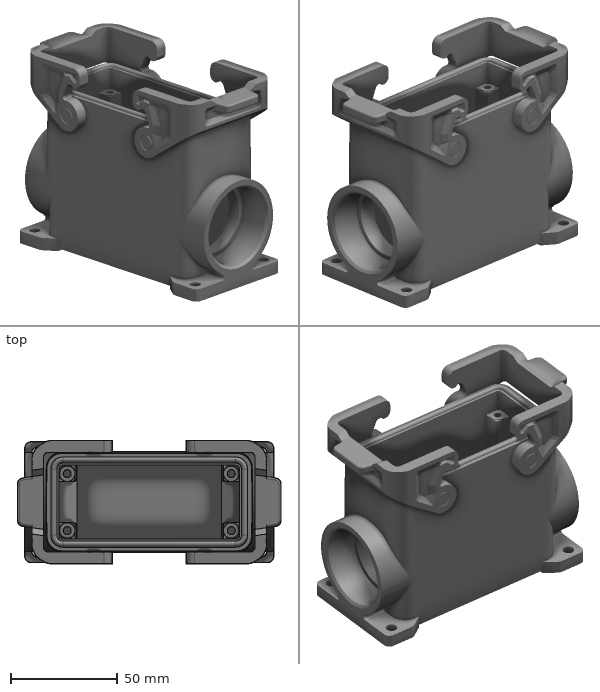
import cadquery as cq
import math

TOTAL_LENGTH = 124.0
TOTAL_HEIGHT = 96.8
OVERLAP = 1.2

SHELL_HALF_X = 48.7
SHELL_HALF_Y = 23.7
SHELL_CORNER_R = 7.6
SHELL_DRAFT = 0.6
END_CREASE = 0.43
LOWER_HALF_X = 46.6
SHELL_BOTTOM = 1.5
RIM_Z = 79.7

CAVITY_HALF_X = 42.4
CAVITY_HALF_Y = 17.4
CAVITY_CORNER_R = 1.9
WELL_HALF_X = 34.0
FLOOR_Z = 5.0
RAMP_TOP_Z = 52.7
RAMP_ANGLE = 30.0

BEAD_INNER_GAP = 1.0
BEAD_WIDTH = 2.9

POST_X = 38.6
POST_Y = 13.4
POST_TOP = 69.2
POST_R = 3.7
POST_EDGE_R = 1.5
POST_HOLE_R = 1.9
POST_HOLE_DEPTH = 9.9
POST_CORNER_STEP = 0.4

COLLAR_FACE_X = 58.5
COLLAR_Z = 30.1
COLLAR_R = 23.3
COLLAR_ROOT_X = 39.2
BORE_MOUTH_R = 20.3
BORE_R = 19.2
BORE_CHAMFER = 1.1
BORE_STEP_X = CAVITY_HALF_X
OPENING_R = 17.0
CLOSING_WALL = 1.9

FOOT_HALF_Y = 28.4
FOOT_HEIGHT = 6.2
FOOT_INNER_X = 36.6
FOOT_SHOULDER_X = 43.4
FOOT_CORNER_R = 3.0
FOOT_HOLE_X = 52.5
FOOT_HOLE_Y = 23.1
FOOT_HOLE_R = 2.7
WEB_HALF_Y = 10.9
WEB_TOP = 9.7
WEB_NOTCH_R = 1.4

LEVER_END_X = 55.0
LEVER_HALF_Y = 29.0
LEVER_INNER_X = 49.7
LEVER_INNER_Y = 23.4
LEVER_INNER_R = 2.5
LEVER_END_ARC_R = 7.9
LEVER_SIDE_ARC_R = 6.2
LEVER_SIDE_ARC_X = 45.9
LEVER_END_ARC_ANGLE = 60.0
PIVOT_X = 26.0
PIVOT_Z = 71.9
PIVOT_R = 7.6
PIN_R = 3.8
PIN_GROOVE = 0.4
PIN_EMBED = 3.7
LEVER_SLOPE = 35.0
HOOK_TIP_X = 17.4
HOOK_TOP_R = 3.8

SIDE_POCKET_DEPTH = 1.9
HOOK_POCKET_DEPTH = 1.1
END_POCKET_DEPTH = 1.9
END_POCKET_HALF_Y = 19.1
END_POCKET_BOTTOM = 84.5
END_POCKET_TOP = 93.5
END_POCKET_INSET = 2.4
END_POCKET_CORNER = 1.1

TAB_TOP = 94.7
TAB_THICKNESS = 4.3
TAB_TIP_X = TOTAL_LENGTH / 2
TAB_TIP_HALF_Y = 11.0
TAB_ROOT_HALF_Y = 12.8
TAB_CORNER_R = 3.1
TAB_EDGE_R = 1.0
TAB_FLARE_HALF_Y = 13.1
TAB_FLARE_BOTTOM = 89.7
TAB_FLARE_LENGTH = 1.2
TAB_FLARE_ANGLE = 40.0
NOTCH_FLARE = 3.0


def block(x0, x1, half_y, z0, z1):
    """Box between two X and two Z positions, centred on Y = 0."""
    return cq.Workplane("XY").box(x1 - x0, 2 * half_y, z1 - z0, centered=(False, True, False)).translate(
        (x0, 0, z0)
    )


def x_cylinder(radius, x0, x1):
    """Cylinder on the collar axis between two X positions."""
    return cq.Workplane("YZ", origin=(x0, 0, COLLAR_Z)).circle(radius).extrude(x1 - x0)


def both_ends(shape):
    return shape.union(shape.mirror("YZ"))


def both_sides(shape):
    return shape.union(shape.mirror("XZ"))


def shell_prism(half_x):
    """Drafted, rounded block up to the rim, with end faces creased slightly outward."""
    height = RIM_Z - SHELL_BOTTOM
    crease_x = half_x + END_CREASE
    outline = [
        (crease_x, 0),
        (half_x, SHELL_HALF_Y),
        (-half_x, SHELL_HALF_Y),
        (-crease_x, 0),
        (-half_x, -SHELL_HALF_Y),
        (half_x, -SHELL_HALF_Y),
    ]
    blank = cq.Workplane("XY").polyline(outline).close().extrude(height)
    corners = [edge for edge in blank.edges("|Z").vals() if abs(edge.Center().y) > 1.2]
    rounded = blank.newObject(corners).fillet(SHELL_CORNER_R)
    wire = rounded.faces("<Z").wires().toPending()
    return wire.extrude(height, taper=SHELL_DRAFT, combine=False).translate((0, 0, SHELL_BOTTOM))


def rim_bead():
    """Half-round bead running around the rim, just outside the cavity."""
    radius = BEAD_WIDTH / 2
    offset = BEAD_INNER_GAP + radius
    half_x = CAVITY_HALF_X + offset
    half_y = CAVITY_HALF_Y + offset
    loop = cq.Workplane("XY", origin=(0, 0, RIM_Z)).rect(2 * half_x, 2 * half_y).extrude(-1.2)
    loop = loop.edges("|Z").fillet(CAVITY_CORNER_R + offset).faces(">Z").wires()
    start = cq.Workplane("YZ", origin=(0, half_y, RIM_Z))
    return start.circle(radius).sweep(loop)


def cavity():
    """Open-topped interior with a sloping ledge at each end above the well."""
    well = block(-WELL_HALF_X, WELL_HALF_X, CAVITY_HALF_Y, FLOOR_Z, RIM_Z)
    ramp_edge_z = RAMP_TOP_Z - (CAVITY_HALF_X - WELL_HALF_X) * math.tan(math.radians(RAMP_ANGLE))
    section = [
        (-CAVITY_HALF_X, RIM_Z),
        (-CAVITY_HALF_X, RAMP_TOP_Z),
        (-WELL_HALF_X, ramp_edge_z),
        (WELL_HALF_X, ramp_edge_z),
        (CAVITY_HALF_X, RAMP_TOP_Z),
        (CAVITY_HALF_X, RIM_Z),
    ]
    upper = cq.Workplane("XZ").polyline(section).close().extrude(CAVITY_HALF_Y, both=True)
    corners = [edge for edge in upper.edges("|Z").vals() if abs(edge.Center().x) > WELL_HALF_X + 1.2]
    return well.union(upper.newObject(corners).fillet(CAVITY_CORNER_R))


def screw_post():
    """Corner post, widening downward to the well wall, with a slightly raised ring around its hole."""
    foot_z = RAMP_TOP_Z - (CAVITY_HALF_X - WELL_HALF_X)
    inner_y = POST_Y - POST_R
    section = [
        (WELL_HALF_X, foot_z),
        (POST_X - POST_R, POST_TOP - POST_CORNER_STEP),
        (CAVITY_HALF_X + OVERLAP, POST_TOP - POST_CORNER_STEP),
        (CAVITY_HALF_X + OVERLAP, foot_z),
    ]
    post = (
        cq.Workplane("XZ", origin=(0, inner_y, 0))
        .polyline(section)
        .close()
        .extrude(inner_y - CAVITY_HALF_Y - OVERLAP)
        .edges(cq.NearestToPointSelector((POST_X - POST_R, inner_y, (foot_z + POST_TOP) / 2)))
        .fillet(POST_EDGE_R)
    )
    at_axis = cq.Workplane("XY", origin=(POST_X, POST_Y, POST_TOP))
    return post.union(at_axis.circle(POST_R).extrude(-POST_CORNER_STEP - OVERLAP)).cut(
        at_axis.circle(POST_HOLE_R).extrude(-POST_HOLE_DEPTH)
    )


def screw_posts():
    return both_ends(both_sides(screw_post()))


def collar_bore(inner_x):
    """Stepped bore of the +X collar, ending at inner_x."""
    bore = x_cylinder(BORE_R, BORE_STEP_X, COLLAR_FACE_X)
    mouth = cq.Workplane("XY").add(
        cq.Solid.makeCone(
            BORE_R,
            BORE_MOUTH_R,
            BORE_CHAMFER,
            cq.Vector(COLLAR_FACE_X - BORE_CHAMFER, 0, COLLAR_Z),
            cq.Vector(1, 0, 0),
        )
    )
    return bore.union(mouth).union(x_cylinder(OPENING_R, inner_x, BORE_STEP_X))


def foot():
    """Mounting plate under the +X end, with two holes and a web up to the collar."""
    outline = [
        (COLLAR_FACE_X, FOOT_HALF_Y),
        (FOOT_SHOULDER_X, FOOT_HALF_Y),
        (FOOT_INNER_X, SHELL_HALF_Y),
        (FOOT_INNER_X, -SHELL_HALF_Y),
        (FOOT_SHOULDER_X, -FOOT_HALF_Y),
        (COLLAR_FACE_X, -FOOT_HALF_Y),
    ]
    plate = cq.Workplane("XY").polyline(outline).close().extrude(FOOT_HEIGHT)
    plate = plate.edges("|Z and >X").fillet(FOOT_CORNER_R)
    shoulders = [e for e in plate.edges("|Z").vals() if abs(e.Center().x - FOOT_SHOULDER_X) < 0.1]
    plate = plate.newObject(shoulders).fillet(FOOT_CORNER_R)
    holes = cq.Workplane("XY").pushPoints([(FOOT_HOLE_X, FOOT_HOLE_Y), (FOOT_HOLE_X, -FOOT_HOLE_Y)])
    plate = plate.cut(holes.circle(FOOT_HOLE_R).extrude(FOOT_HEIGHT))
    web = block(LOWER_HALF_X - OVERLAP, COLLAR_FACE_X, WEB_HALF_Y, FOOT_HEIGHT - OVERLAP, WEB_TOP)
    notches = (
        cq.Workplane("YZ")
        .pushPoints([(y, FOOT_HEIGHT + WEB_NOTCH_R) for y in (-WEB_HALF_Y, WEB_HALF_Y)])
        .circle(WEB_NOTCH_R)
        .extrude(COLLAR_FACE_X)
    )
    return plate.union(web.cut(notches))


def lever_profile():
    """Side shape of the +X lever: hooked arm above, round pivot eye below."""
    slope = math.radians(LEVER_SLOPE)
    tangent_x = PIVOT_X + PIVOT_R * math.sin(slope)
    tangent_z = PIVOT_Z - PIVOT_R * math.cos(slope)
    end_bottom_z = tangent_z + (LEVER_END_X - tangent_x) * math.tan(slope)
    diagonal = HOOK_TOP_R * (1 - math.sqrt(0.5))
    arm = (
        cq.Workplane("XZ")
        .moveTo(LEVER_END_X, TOTAL_HEIGHT)
        .lineTo(HOOK_TIP_X + HOOK_TOP_R, TOTAL_HEIGHT)
        .threePointArc(
            (HOOK_TIP_X + diagonal, TOTAL_HEIGHT - diagonal), (HOOK_TIP_X, TOTAL_HEIGHT - HOOK_TOP_R)
        )
        .lineTo(HOOK_TIP_X, 90.5)
        .threePointArc((18.4, 87.7), (21.7, 87.0))
        .threePointArc((24.0, 88.2), (25.9, 86.7))
        .lineTo(28.1, 81.5)
        .threePointArc((28.1, 80.2), (27.0, 79.4))
        .lineTo(PIVOT_X, PIVOT_Z)
        .lineTo(tangent_x, tangent_z)
        .lineTo(LEVER_END_X, end_bottom_z)
        .close()
        .extrude(LEVER_HALF_Y, both=True)
    )
    eye = cq.Workplane("XZ").center(PIVOT_X, PIVOT_Z).circle(PIVOT_R).extrude(LEVER_HALF_Y, both=True)
    return arm.union(eye)


def lever_plan():
    """U-shaped plan of the +X lever; each outer corner is an arc, a short flat and an arc."""
    turn = math.radians(LEVER_END_ARC_ANGLE)
    rest = math.pi / 2 - turn
    flat_end = (LEVER_SIDE_ARC_X + LEVER_SIDE_ARC_R * math.sin(rest),
                LEVER_HALF_Y - LEVER_SIDE_ARC_R * (1 - math.cos(rest)))
    side_mid = (LEVER_SIDE_ARC_X + LEVER_SIDE_ARC_R * math.sin(rest / 2),
                LEVER_HALF_Y - LEVER_SIDE_ARC_R * (1 - math.cos(rest / 2)))
    centre_x = LEVER_END_X - LEVER_END_ARC_R
    flat_start_x = centre_x + LEVER_END_ARC_R * math.cos(turn)
    flat_start_y = flat_end[1] - (flat_start_x - flat_end[0]) / math.tan(turn)
    centre_y = flat_start_y - LEVER_END_ARC_R * math.sin(turn)
    end_mid = (centre_x + LEVER_END_ARC_R * math.cos(turn / 2),
               centre_y + LEVER_END_ARC_R * math.sin(turn / 2))
    half = (
        cq.Workplane("XY")
        .lineTo(LEVER_END_X, 0)
        .lineTo(LEVER_END_X, centre_y)
        .threePointArc(end_mid, (flat_start_x, flat_start_y))
        .lineTo(*flat_end)
        .threePointArc(side_mid, (LEVER_SIDE_ARC_X, LEVER_HALF_Y))
        .lineTo(0, LEVER_HALF_Y)
        .close()
        .extrude(TOTAL_HEIGHT)
    )
    inside = block(-LEVER_INNER_X, LEVER_INNER_X, LEVER_INNER_Y, 0, TOTAL_HEIGHT)
    return both_sides(half).cut(inside.edges("|Z").fillet(LEVER_INNER_R))


def tapered_pocket(plane, opening, bottom, depth):
    """Pocket with sloping walls, from an opening outline to a matching bottom outline."""
    return (
        plane.polyline(opening)
        .close()
        .workplane(offset=-depth)
        .polyline(bottom)
        .close()
        .loft(ruled=True)
    )


def side_pockets():
    """Recesses in the -Y cheek of the +X lever."""
    def cheek():
        return cq.Workplane("XZ", origin=(0, -LEVER_HALF_Y, 0))

    main = tapered_pocket(
        cheek(),
        [(41.2, 94.4), (27.7, 94.4), (27.3, 91.0), (30.6, 81.8), (30.6, 78.1), (29.9, 77.4), (32.4, 71.3),
         (33.2, 71.0), (41.2, 76.8), (42.3, 78.1), (42.3, 93.2)],
        [(37.6, 91.0), (30.5, 91.0), (30.4, 90.8), (33.9, 81.8), (33.9, 77.4), (34.0, 76.4), (35.0, 76.0),
         (35.5, 76.0), (38.5, 78.2), (39.2, 79.9), (39.2, 89.5)],
        SIDE_POCKET_DEPTH,
    )
    hook = tapered_pocket(
        cheek(),
        [(27.9, 94.4), (19.3, 94.4), (19.3, 89.7), (21.3, 89.5), (24.2, 92.0), (26.8, 92.0), (27.9, 91.3)],
        [(27.9, 93.2), (20.6, 93.2), (20.3, 91.0), (20.8, 91.0), (23.9, 93.0), (26.7, 93.0), (27.9, 92.8)],
        HOOK_POCKET_DEPTH,
    )
    return main.union(hook)


def end_pocket():
    """Shallow recess across the end face of the +X lever, below the tab."""
    def outline(inset):
        corner = END_POCKET_CORNER
        y = END_POCKET_HALF_Y - inset
        low = END_POCKET_BOTTOM + inset
        high = END_POCKET_TOP - inset
        return [(y, low + corner), (y, high - corner), (y - corner, high), (corner - y, high),
                (-y, high - corner), (-y, low + corner), (corner - y, low), (y - corner, low)]

    return tapered_pocket(
        cq.Workplane("YZ", origin=(LEVER_END_X, 0, 0)),
        outline(0),
        outline(END_POCKET_INSET),
        END_POCKET_DEPTH,
    )


def thumb_tab():
    """Plate through the +X lever end, with rounded tip corners and edges."""
    outline = [
        (LEVER_INNER_X, TAB_ROOT_HALF_Y),
        (TAB_TIP_X, TAB_TIP_HALF_Y),
        (TAB_TIP_X, -TAB_TIP_HALF_Y),
        (LEVER_INNER_X, -TAB_ROOT_HALF_Y),
    ]
    plate = cq.Workplane("XY", origin=(0, 0, TAB_TOP)).polyline(outline).close().extrude(-TAB_THICKNESS)
    plate = plate.edges("|Z and >X").fillet(TAB_CORNER_R)
    outer = plate.faces("<Z or >Z").edges().vals()
    rounded = [edge for edge in outer if edge.Center().x > LEVER_INNER_X + 1.2]
    return plate.newObject(rounded).fillet(TAB_EDGE_R)


def tab_flare():
    """Sloping reinforcement where the tab leaves the floor of the end pocket."""
    height = TAB_TOP - TAB_FLARE_BOTTOM
    return (
        cq.Workplane("YZ", origin=(LEVER_END_X - END_POCKET_DEPTH, 0, TAB_TOP - height / 2))
        .rect(2 * TAB_FLARE_HALF_Y, height)
        .extrude(TAB_FLARE_LENGTH, taper=TAB_FLARE_ANGLE)
    )


def tab_notch():
    """Flared opening in the top edge of the lever above the tab."""
    def section(x, half_y):
        wide = half_y + NOTCH_FLARE
        corners = [(-half_y, TAB_TOP), (half_y, TAB_TOP), (wide, TOTAL_HEIGHT), (-wide, TOTAL_HEIGHT)]
        return cq.Wire.makePolygon([cq.Vector(x, y, z) for y, z in corners], close=True)

    root_to_tip = (TAB_ROOT_HALF_Y - TAB_TIP_HALF_Y) / (TAB_TIP_X - LEVER_INNER_X)
    half_y_end = TAB_ROOT_HALF_Y - root_to_tip * (LEVER_END_X - LEVER_INNER_X)
    ends = [section(LEVER_INNER_X, TAB_ROOT_HALF_Y), section(LEVER_END_X, half_y_end)]
    return cq.Workplane("XY").add(cq.Solid.makeLoft(ends, True))


def lever():
    """Complete +X lever with tab and pivot pins reaching into the shell walls."""
    body = lever_plan().intersect(lever_profile())
    body = body.cut(both_sides(side_pockets())).cut(end_pocket()).cut(tab_notch())
    groove = (
        cq.Workplane("XZ", origin=(PIVOT_X, -LEVER_HALF_Y, PIVOT_Z))
        .circle(PIN_R)
        .circle(PIN_R - PIN_GROOVE)
        .extrude(-PIN_GROOVE)
    )
    pin_root_y = LEVER_INNER_Y - PIN_EMBED
    pin = (
        cq.Workplane("XZ", origin=(PIVOT_X, -pin_root_y, PIVOT_Z))
        .circle(PIN_R)
        .extrude(LEVER_HALF_Y - pin_root_y)
    )
    return body.union(both_sides(pin)).cut(both_sides(groove)).union(thumb_tab()).union(tab_flare())


upper_space = block(-SHELL_HALF_X - OVERLAP, SHELL_HALF_X + OVERLAP, SHELL_HALF_Y + OVERLAP, COLLAR_Z, RIM_Z)
shell = shell_prism(SHELL_HALF_X).intersect(upper_space)
shell = shell.union(shell_prism(LOWER_HALF_X).cut(upper_space))
shell = shell.union(both_ends(x_cylinder(COLLAR_R, COLLAR_ROOT_X, COLLAR_FACE_X).union(foot())))
shell = shell.cut(cavity()).union(rim_bead()).union(screw_posts())

shell = shell.cut(collar_bore(WELL_HALF_X - OVERLAP).mirror("YZ"))
shell = shell.cut(collar_bore(WELL_HALF_X + CLOSING_WALL))

result = shell.union(both_ends(lever()))